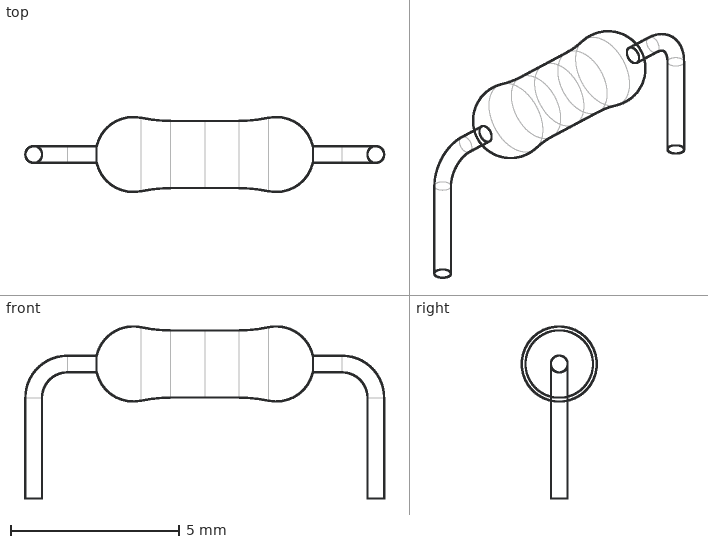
import cadquery as cq
import math

overall_length = 10.66
lead_diameter = 0.5
lead_radius = lead_diameter / 2
lead_half_pitch = overall_length / 2 - lead_radius
bend_radius = 1.0
axis_height = 4.0

body_half_length = 3.24
bulb_radius = 1.12
waist_radius = 2.0 / 2
waist_half_length = 1.01
bulb_center = body_half_length - bulb_radius


def make_body():
    """Revolve two spherical bulbs blended tangentially into a straight waist."""
    blend_run = bulb_center - waist_half_length
    blend_radius = (
        (blend_run**2 + waist_radius**2 - bulb_radius**2)
        / (2 * (bulb_radius - waist_radius))
    )
    center_distance = blend_radius + bulb_radius
    bulb_angle = math.asin(blend_run / center_distance)
    joint_x = bulb_center - bulb_radius * math.sin(bulb_angle)
    joint_z = bulb_radius * math.cos(bulb_angle)
    blend_mid_x = waist_half_length + blend_radius * math.sin(bulb_angle / 2)
    blend_mid_z = waist_radius + blend_radius * (1 - math.cos(bulb_angle / 2))

    half_body = (
        cq.Workplane("XZ")
        .lineTo(0, waist_radius)
        .lineTo(waist_half_length, waist_radius)
        .threePointArc((blend_mid_x, blend_mid_z), (joint_x, joint_z))
        .threePointArc((bulb_center, bulb_radius), (body_half_length, 0))
        .close()
        .revolve(360, (0, 0), (1, 0))
    )
    return half_body.union(half_body.mirror("YZ")).translate((0, 0, axis_height))


def make_lead():
    """Sweep the right-hand lead from its tip, round the bend, into the bulb."""
    bend_center_x = lead_half_pitch - bend_radius
    bend_center_z = axis_height - bend_radius
    bend_mid_offset = bend_radius * math.sqrt(0.5)
    path = (
        cq.Workplane("XZ")
        .moveTo(lead_half_pitch, 0)
        .lineTo(lead_half_pitch, bend_center_z)
        .threePointArc(
            (bend_center_x + bend_mid_offset, bend_center_z + bend_mid_offset),
            (bend_center_x, axis_height),
        )
        .lineTo(bulb_center, axis_height)
    )
    return cq.Workplane("XY").center(lead_half_pitch, 0).circle(lead_radius).sweep(path)


lead = make_lead()
result = make_body().union(lead).union(lead.mirror("YZ"))